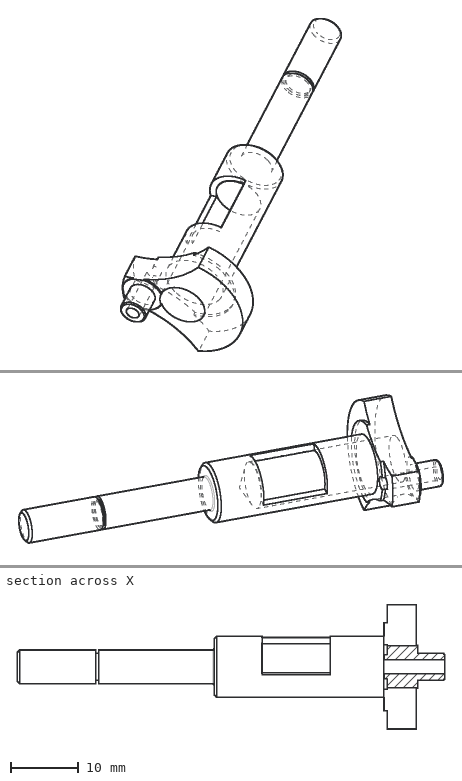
import cadquery as cq
import math


pin_length = 4.0
boss_height = 0.2
plate_thickness = 4.3
collar_thickness = 0.5
sleeve_length = 25.0
overall_length = 63.0
boss_front_y = pin_length
plate_front_y = boss_front_y + boss_height
plate_rear_y = plate_front_y + plate_thickness
collar_rear_y = plate_rear_y + collar_thickness
sleeve_end_y = collar_rear_y + sleeve_length

plate_radius = 9.5
lobe_half_height = 9.17
neck_half_height = 2.59
flank_mid_x = -3.2
flank_mid_z = 4.27

pin_offset = 6.25
pin_radius = 2.0
pin_chamfer = 0.2
pin_hole_radius = 1.0
boss_radius = 3.15

collar_radius = 6.5
sleeve_radius = 4.5
sleeve_chamfer = 0.4
bore_radius = 3.5
bore_end_y = 27.0
bore_tip_angle = 118.0
bore_tip_length = bore_radius / math.tan(math.radians(bore_tip_angle / 2))

window_start_y = 16.9
window_length = 10.0
window_direction = 135.0
window_half_angle = 60.0
window_cutter_radius = 1.5 * sleeve_radius

spindle_radius = 2.5
spindle_chamfer = 0.4
groove_depth = 0.5
groove_width = 0.4
groove_y = 51.0
root_fillet = 0.2


def xz_plane(y):
    """Sketch plane across the shaft: local x is X, local y is Z, negative extrusions run toward +Y."""
    return cq.Workplane(cq.Plane(origin=(0, y, 0), xDir=(1, 0, 0), normal=(0, -1, 0)))


def cylinder(radius, start_y, end_y, center_x=0.0):
    """Cylinder along Y between two positions."""
    return xz_plane(start_y).center(center_x, 0).circle(radius).extrude(start_y - end_y)


def plate_blank(start_y, end_y):
    """Slab with the crank plate outline: a disc with two concave flanks."""
    lobe_x = math.sqrt(plate_radius**2 - lobe_half_height**2)
    neck_x = -math.sqrt(plate_radius**2 - neck_half_height**2)
    return (
        xz_plane(start_y)
        .moveTo(neck_x, neck_half_height)
        .threePointArc((flank_mid_x, flank_mid_z), (lobe_x, lobe_half_height))
        .threePointArc((plate_radius, 0), (lobe_x, -lobe_half_height))
        .threePointArc((flank_mid_x, -flank_mid_z), (neck_x, -neck_half_height))
        .threePointArc((-plate_radius, 0), (neck_x, neck_half_height))
        .close()
        .extrude(start_y - end_y)
    )


def crank_plate():
    """Plate with the raised boss on its front and the collar on its rear, both kept inside its outline."""
    plate = plate_blank(plate_front_y, plate_rear_y)
    boss = cylinder(boss_radius, boss_front_y, plate_front_y, -pin_offset)
    boss = boss.intersect(plate_blank(boss_front_y, plate_front_y))
    collar = cylinder(collar_radius, plate_rear_y, collar_rear_y)
    collar = collar.intersect(plate_blank(plate_rear_y, collar_rear_y))
    return plate.union(boss).union(collar)


def crank_pin():
    pin = cylinder(pin_radius, 0, plate_front_y, -pin_offset)
    return pin.faces("<Y").chamfer(pin_chamfer)


def sleeve():
    body = cylinder(sleeve_radius, collar_rear_y, sleeve_end_y)
    return body.faces(">Y").chamfer(sleeve_chamfer)


def groove():
    """Ring that cuts a shallow groove around the spindle."""
    outer = cylinder(spindle_radius + groove_depth, groove_y, groove_y + groove_width)
    inner = cylinder(spindle_radius - groove_depth, groove_y, groove_y + groove_width)
    return outer.cut(inner)


def spindle():
    rod = cylinder(spindle_radius, sleeve_end_y, overall_length)
    rod = rod.faces(">Y").chamfer(spindle_chamfer)
    return rod.cut(groove())


def bore():
    """Blind bore from the plate front, ending in a drill point."""
    return (
        cq.Workplane("XY")
        .lineTo(bore_radius, 0)
        .lineTo(bore_radius, bore_end_y)
        .lineTo(0, bore_end_y + bore_tip_length)
        .close()
        .revolve(360, (0, 0, 0), (0, 1, 0))
    )


def window():
    """Sector-shaped cutter that opens the sleeve wall on the -X, +Z side."""

    def rim_point(angle):
        turn = math.radians(angle)
        return window_cutter_radius * math.cos(turn), window_cutter_radius * math.sin(turn)

    sector = (
        xz_plane(window_start_y)
        .lineTo(*rim_point(window_direction - window_half_angle))
        .threePointArc(rim_point(window_direction), rim_point(window_direction + window_half_angle))
        .close()
        .extrude(-window_length)
    )
    core = cylinder(bore_radius, window_start_y, window_start_y + window_length)
    return sector.cut(core)


def spindle_root_edge():
    """Selector for the circle where the spindle meets the end of the sleeve."""
    size = spindle_radius + root_fillet
    return cq.selectors.BoxSelector(
        (-size, sleeve_end_y - root_fillet, -size),
        (size, sleeve_end_y + root_fillet, size),
        boundingbox=True,
    )


def shaft():
    """Sleeve and spindle with a small fillet between them."""
    stepped = sleeve().union(spindle())
    return stepped.edges(spindle_root_edge()).fillet(root_fillet)


result = crank_plate().union(shaft())
result = result.cut(bore()).cut(window())
result = result.union(crank_pin())
result = result.cut(cylinder(pin_hole_radius, 0, collar_rear_y, -pin_offset))